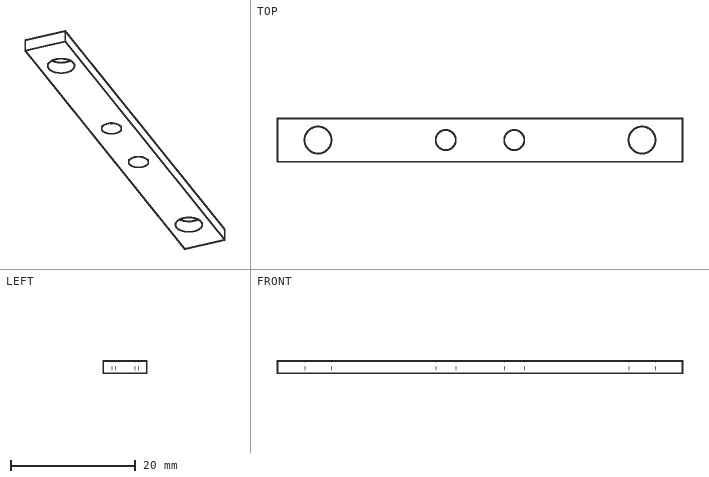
import cadquery as cq

bar_length = 65.0
bar_width = 7.0
bar_thickness = 2.0

outer_hole_diameter = 4.3
outer_hole_spacing = 52.0
inner_hole_diameter = 3.2
inner_hole_spacing = 11.0


def make_bar():
    """Plain rectangular bar, centred in X and Y, resting on Z = 0."""
    return cq.Workplane("XY").box(
        bar_length, bar_width, bar_thickness, centered=(True, True, False)
    )


def cut_hole_pair(body, diameter, spacing):
    """Drill two through holes placed symmetrically about the bar's middle."""
    half_spacing = spacing / 2
    return (
        body.faces(">Z")
        .workplane(origin=(0, 0, bar_thickness))
        .pushPoints([(-half_spacing, 0), (half_spacing, 0)])
        .hole(diameter)
    )


bar = make_bar()
bar = cut_hole_pair(bar, outer_hole_diameter, outer_hole_spacing)
result = cut_hole_pair(bar, inner_hole_diameter, inner_hole_spacing)